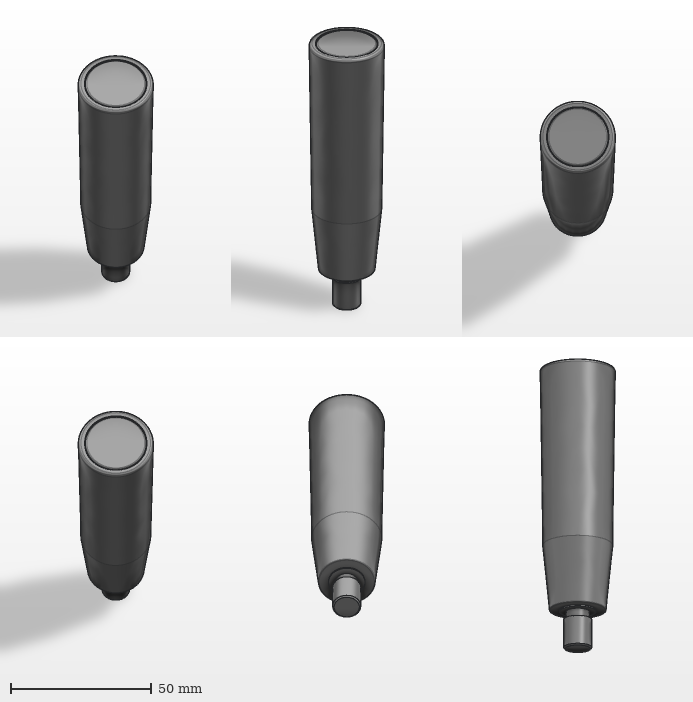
import cadquery as cq

total_height = 104.4
thread_top = 11.0
collar_bottom = 13.9
handle_bottom = 14.4
taper_change = 38.5

top_diameter = 26.9
waist_diameter = 25.1
bottom_diameter = 20.3
top_fillet = 1.0
bottom_fillet = 0.3

groove_outer_diameter = 22.2
groove_inner_diameter = 21.7
groove_depth = 0.5

thread_diameter = 10.0
tip_chamfer = 0.5
neck_diameter = 8.4
collar_diameter = 13.0
collar_height = 2.1
shank_diameter = thread_diameter
collar_top = collar_bottom + collar_height
shank_top = taper_change


def cylinder(diameter, bottom, top):
    """Upright cylinder on the Z axis between two heights."""
    return cq.Workplane("XY").workplane(offset=bottom).circle(diameter / 2).extrude(top - bottom)


def make_spindle():
    """Threaded end, undercut neck, collar and the shank that carries the handle."""
    thread = cylinder(thread_diameter, 0, thread_top).faces("<Z").chamfer(tip_chamfer)
    neck = cylinder(neck_diameter, thread_top, collar_bottom)
    collar = cylinder(collar_diameter, collar_bottom, collar_top)
    shank = cylinder(shank_diameter, collar_top, shank_top)
    return thread.union(neck).union(collar).union(shank)


def make_grip():
    """Solid of revolution with a slight upper taper and a steeper lower one."""
    return (
        cq.Workplane("XZ")
        .moveTo(0, handle_bottom)
        .lineTo(bottom_diameter / 2, handle_bottom)
        .lineTo(waist_diameter / 2, taper_change)
        .lineTo(top_diameter / 2, total_height)
        .lineTo(0, total_height)
        .close()
        .revolve(360, (0, 0), (0, 1))
        .faces(">Z").edges().fillet(top_fillet)
        .faces("<Z").edges().fillet(bottom_fillet)
    )


def make_end_groove():
    """Narrow ring groove with a quarter-round inner wall down to its floor."""
    disc_radius = groove_inner_diameter / 2
    outer_radius = groove_outer_diameter / 2
    floor = total_height - groove_depth
    return (
        cq.Workplane("XZ")
        .moveTo(disc_radius, floor)
        .lineTo(outer_radius, floor)
        .lineTo(outer_radius, total_height)
        .lineTo(disc_radius - groove_depth, total_height)
        .radiusArc((disc_radius, floor), groove_depth)
        .close()
        .revolve(360, (0, 0), (0, 1))
    )


spindle = make_spindle()
handle = make_grip().cut(make_end_groove()).cut(spindle)

result = cq.Compound.makeCompound([handle.val(), spindle.val()])